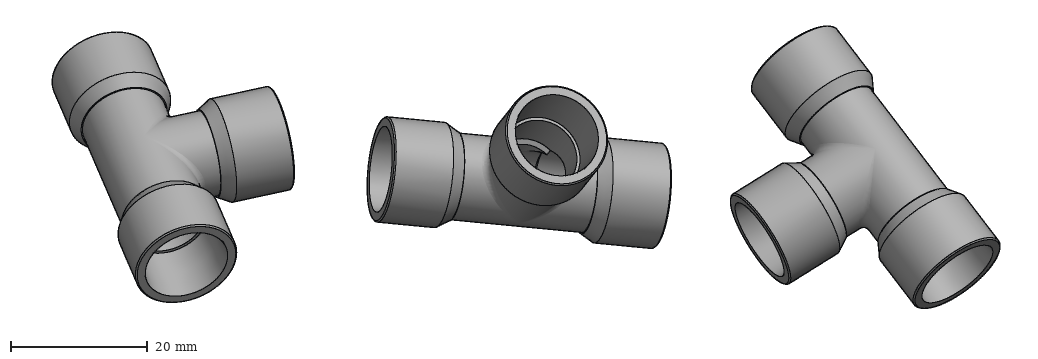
import cadquery as cq
import math

run_length = 42.0
overall_depth = 28.4

sleeve_diameter = 15.5
pipe_diameter = 12.75
sleeve_length = 8.9
neck_length = 2.0
neck_angle = 30
rim_chamfer = 0.2
crotch_fillet = 1.0

socket_mouth_radius = 6.3
socket_base_radius = 5.95
socket_depth = sleeve_length
bore_radius = 5.5
throat_radius = 4.8
throat_half_length = 3.28
throat_cone_length = 0.4

sleeve_radius = sleeve_diameter / 2
pipe_radius = pipe_diameter / 2
neck_end_radius = sleeve_radius - neck_length * math.tan(math.radians(neck_angle))
run_reach = run_length / 2
branch_reach = overall_depth - sleeve_radius

arms = [
    ((-1, 0, 0), run_reach),
    ((1, 0, 0), run_reach),
    ((0, 1, 0), branch_reach),
]


def revolved_arm(profile, direction):
    """Revolve (distance, radius) points about the axis leaving the origin along direction."""
    plane = cq.Plane(origin=(0, 0, 0), xDir=direction, normal=(0, 0, 1))
    return cq.Workplane(plane).polyline(profile).close().revolve(360, (0, 0), (1, 0))


def pipe_end(reach):
    """Distance from the origin at which the plain pipe meets the neck of the sleeve."""
    return reach - sleeve_length - neck_length


def sleeve(direction, reach):
    """Thick sleeve at the end of an arm, necking down to a small step on the pipe."""
    profile = [
        (pipe_end(reach), 0),
        (pipe_end(reach), neck_end_radius),
        (reach - sleeve_length, sleeve_radius),
        (reach - rim_chamfer, sleeve_radius),
        (reach, sleeve_radius - rim_chamfer),
        (reach, 0),
    ]
    return revolved_arm(profile, direction)


def cavity(direction, reach):
    """Tapered socket, flat shoulder, bore and narrower throat of an arm."""
    socket_base = reach - socket_depth
    profile = [
        (0, 0),
        (0, throat_radius),
        (throat_half_length, throat_radius),
        (throat_half_length + throat_cone_length, bore_radius),
        (socket_base, bore_radius),
        (socket_base, socket_base_radius),
        (reach, socket_mouth_radius),
        (reach, 0),
    ]
    return revolved_arm(profile, direction)


def crossing_pipes():
    """Run and branch pipes, blended along the curves where they meet."""
    run_pipe = cq.Workplane("YZ").circle(pipe_radius).extrude(pipe_end(run_reach), both=True)
    branch_pipe = cq.Workplane("XZ").circle(pipe_radius).extrude(-pipe_end(branch_reach))
    pipes = run_pipe.union(branch_pipe)

    crotch_edges = pipes.edges("%ELLIPSE")
    return crotch_edges.fillet(crotch_fillet)


body = crossing_pipes()
for direction, reach in arms:
    body = body.union(sleeve(direction, reach))
for direction, reach in arms:
    body = body.cut(cavity(direction, reach))

result = body